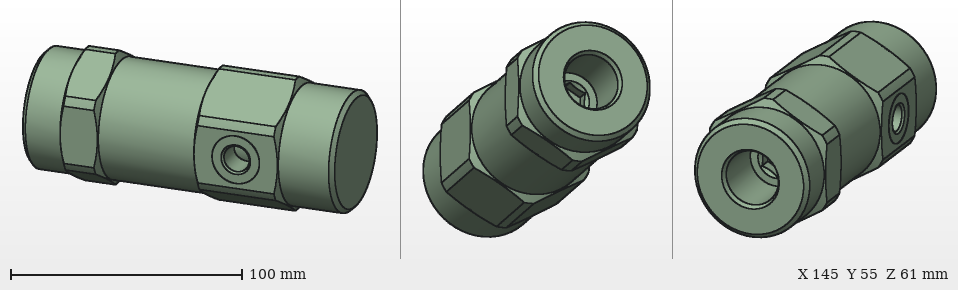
import cadquery as cq
import math

length = 145.0
barrel_diameter = 54.0
end_chamfer = 2.0

across_flats = 55.0
corner_diameter = 61.0
collar_chamfer_length = 1.9
narrow_collar_start = 18.1
narrow_collar_width = 17.8
wide_collar_start = 80.3
wide_collar_width = 39.3

bore_diameter = 24.5
bore_depth = 29.0
bore_mouth_diameter = 27.0
bore_mouth_depth = 2.2

socket_across_flats = 14.0
socket_depth = 7.2
socket_mouth_diameter = 17.4

port_x = wide_collar_start + wide_collar_width / 2
port_diameter = 11.7
port_mouth_diameter = 13.6
seat_diameter = 22.0
seat_depth = 0.1
core_diameter = 29.0


def x_cylinder(diameter, start, depth):
    return cq.Workplane("YZ", origin=(start, 0, 0)).circle(diameter / 2).extrude(depth)


def hex_prism(flats, start, depth):
    """Hexagonal prism along X with two flats facing +Y and -Y."""
    across_corners = flats / math.cos(math.pi / 6)
    return (
        cq.Workplane("YZ", origin=(start, 0, 0))
        .transformed(rotate=(0, 0, 90))
        .polygon(6, across_corners)
        .extrude(depth)
    )


def hex_collar(start, width):
    """Hexagonal prism with turned corners and conical ends."""
    prism = hex_prism(across_flats, start, width)
    face_radius = barrel_diameter / 2
    corner_radius = corner_diameter / 2
    end = start + width
    envelope = (
        cq.Workplane("XY")
        .moveTo(start, 0)
        .lineTo(start, face_radius)
        .lineTo(start + collar_chamfer_length, corner_radius)
        .lineTo(end - collar_chamfer_length, corner_radius)
        .lineTo(end, face_radius)
        .lineTo(end, 0)
        .close()
        .revolve(360, (0, 0, 0), (1, 0, 0))
    )
    return prism.intersect(envelope)


def chamfered_hole(plane, entry, diameter, depth, mouth_diameter, mouth_depth):
    """Blind hole with a conical mouth."""
    hole = cq.Workplane(plane, origin=entry).circle(diameter / 2).extrude(depth)
    mouth = (
        cq.Workplane(plane, origin=entry)
        .circle(mouth_diameter / 2)
        .workplane(offset=mouth_depth)
        .circle(diameter / 2)
        .loft()
    )
    return hole.union(mouth)


def hex_socket():
    """Hexagonal recess with a 45 degree conical lead-in."""
    lead_in_depth = (socket_mouth_diameter - socket_across_flats) / 2
    lead_in = (
        cq.Workplane("YZ", origin=(bore_depth, 0, 0))
        .circle(socket_mouth_diameter / 2)
        .workplane(offset=lead_in_depth)
        .circle(socket_across_flats / 2)
        .loft()
    )
    return hex_prism(socket_across_flats, bore_depth, socket_depth).union(lead_in)


def side_port():
    """Shallow round seat and chamfered hole, ending on the round core."""
    face_y = -across_flats / 2
    seat_y = face_y + seat_depth
    seat = cq.Workplane("ZX", origin=(port_x, face_y, 0)).circle(seat_diameter / 2).extrude(seat_depth)
    mouth_depth = (port_mouth_diameter - port_diameter) / 2
    entry = (port_x, seat_y, 0)
    hole = chamfered_hole("ZX", entry, port_diameter, -seat_y, port_mouth_diameter, mouth_depth)
    core = x_cylinder(core_diameter, wide_collar_start, wide_collar_width)
    return seat.union(hole).cut(core)


barrel = x_cylinder(barrel_diameter, 0, length).faces("<X or >X").chamfer(end_chamfer)
body = barrel.union(hex_collar(narrow_collar_start, narrow_collar_width))
body = body.union(hex_collar(wide_collar_start, wide_collar_width))

bore = chamfered_hole("YZ", (0, 0, 0), bore_diameter, bore_depth, bore_mouth_diameter, bore_mouth_depth)

result = body.cut(bore).cut(hex_socket()).cut(side_port())